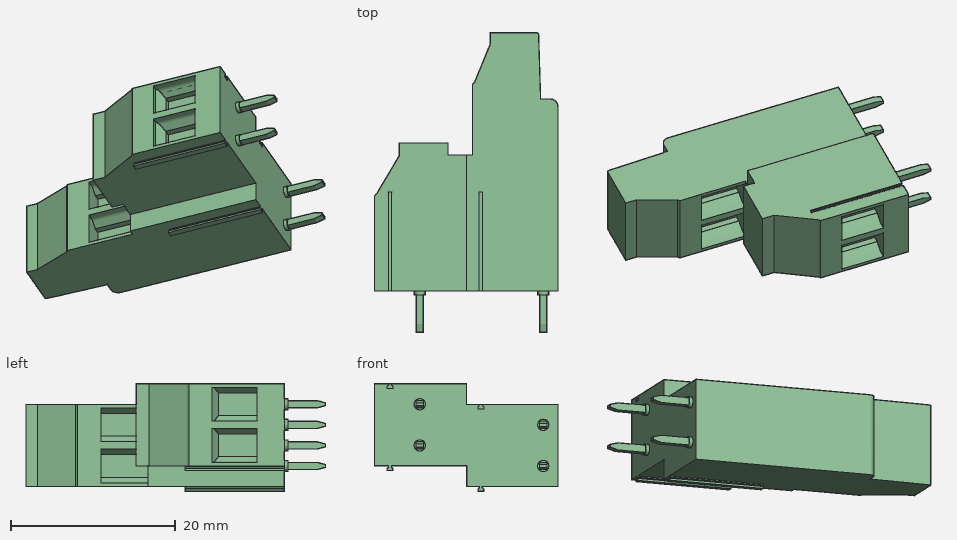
import cadquery as cq

BLOCK_HEIGHT = 10.0
BLOCK_OFFSET = 2.5
POLES = 2
PITCH = BLOCK_HEIGHT / POLES
SEAM_X = 11.2
TOTAL_WIDTH = 22.3

FRONT_NECK_Y = 11.57
FRONT_RAMP_TOP = (3.0, 16.45)
FRONT_TOP_Y = 18.0
FRONT_TOP_END_X = 8.95
SHELF_Y = 16.55

REAR_WALL_X = 11.9
REAR_NECK_Y = 25.13
REAR_RAMP_TOP = (14.05, 30.0)
REAR_TOP_Y = 31.4
REAR_TOP_END_X = 19.95
REAR_TOP_RADIUS = 0.25
SHOULDER_X = 20.2
SHOULDER_Y = 23.35
SHOULDER_RADIUS = 0.95

BEVEL_X = 0.25
BEVEL_Y = 0.25

FUNNEL_HEIGHT = 4.1
FUNNEL_THROAT_HEIGHT = 2.75
FUNNEL_END_TAPER = 0.78
END_TAPER_START = 0.6
FLOOR_TAPER_START = 1.08
THROAT_START = 2.05
FUNNEL_DEPTH = 2.82
FLOOR_BEND_RADIUS = 0.8
FRONT_FUNNEL_Y = (3.3, 8.8)
REAR_FUNNEL_Y = (SHELF_Y, 22.3)

RAIL_LENGTH = 12.07
RAIL_HEIGHT = 0.57
RAIL_NECK_WIDTH = 0.4
RAIL_NECK_HEIGHT = 0.15
RAIL_HEAD_WIDTH = 0.72
RAIL_HEAD_HEIGHT = 0.25
FRONT_RAIL_X = 1.88
REAR_RAIL_X = 12.92

PIN_LENGTH = 5.0
PIN_WIDTH = 0.9
PIN_TIP_LENGTH = 1.0
PIN_TIP_HEIGHT = 0.35
COLLAR_DIAMETER = 1.36
COLLAR_LENGTH = 0.45
FRONT_PIN_X = 5.5
REAR_PIN_X = 20.5


def front_block():
    return (
        cq.Workplane("XY")
        .workplane(offset=BLOCK_OFFSET)
        .polyline([
            (0, 0),
            (0, FRONT_NECK_Y),
            (BEVEL_X, FRONT_NECK_Y + BEVEL_Y),
            FRONT_RAMP_TOP,
            (FRONT_RAMP_TOP[0], FRONT_TOP_Y),
            (FRONT_TOP_END_X, FRONT_TOP_Y),
            (FRONT_TOP_END_X, SHELF_Y),
            (SEAM_X, SHELF_Y),
            (SEAM_X, 0),
        ])
        .close()
        .extrude(BLOCK_HEIGHT)
    )


def rear_block():
    block = (
        cq.Workplane("XY")
        .polyline([
            (SEAM_X, 0),
            (SEAM_X, SHELF_Y),
            (REAR_WALL_X, SHELF_Y),
            (REAR_WALL_X, REAR_NECK_Y),
            (REAR_WALL_X + BEVEL_X, REAR_NECK_Y + BEVEL_Y),
            REAR_RAMP_TOP,
            (REAR_RAMP_TOP[0], REAR_TOP_Y),
            (REAR_TOP_END_X, REAR_TOP_Y),
            (SHOULDER_X, SHOULDER_Y),
            (TOTAL_WIDTH, SHOULDER_Y),
            (TOTAL_WIDTH, 0),
        ])
        .close()
        .extrude(BLOCK_HEIGHT)
    )
    mid_z = BLOCK_HEIGHT / 2
    block = block.edges(
        cq.selectors.NearestToPointSelector((REAR_TOP_END_X, REAR_TOP_Y, mid_z))
    ).fillet(REAR_TOP_RADIUS)
    return block.edges(
        cq.selectors.NearestToPointSelector((TOTAL_WIDTH, SHOULDER_Y, mid_z))
    ).fillet(SHOULDER_RADIUS)


def funnel(wall_x, y_range, center_z, end_taper):
    """Cutter for one wire entry, tapered towards its throat on the roof, floor and +Y end."""
    y_low, y_high = y_range
    half_mouth = FUNNEL_HEIGHT / 2
    half_throat = FUNNEL_THROAT_HEIGHT / 2
    side_profile = (
        cq.Workplane("XZ", origin=(wall_x, y_low, center_z))
        .polyline([
            (0, -half_mouth),
            (FLOOR_TAPER_START, -half_mouth),
            (THROAT_START, -half_throat),
            (FUNNEL_DEPTH, -half_throat),
            (FUNNEL_DEPTH, half_throat),
            (THROAT_START, half_throat),
            (FLOOR_TAPER_START, half_mouth),
            (0, half_mouth),
        ])
        .close()
        .extrude(y_low - y_high)
    )
    mid_y = (y_low + y_high) / 2
    for side in (-1, 1):
        bend = (wall_x + FLOOR_TAPER_START, mid_y, center_z + side * half_mouth)
        side_profile = side_profile.edges(
            cq.selectors.NearestToPointSelector(bend)
        ).fillet(FLOOR_BEND_RADIUS)
    plan_profile = (
        cq.Workplane("XY", origin=(wall_x, 0, center_z - half_mouth))
        .polyline([
            (0, y_low),
            (0, y_high),
            (END_TAPER_START, y_high),
            (THROAT_START, y_high - end_taper),
            (FUNNEL_DEPTH, y_high - end_taper),
            (FUNNEL_DEPTH, y_low),
        ])
        .close()
        .extrude(FUNNEL_HEIGHT)
    )
    return side_profile.intersect(plan_profile)


def rail(center_x, base_z):
    """Headed rail hanging below base_z; also the cutter for the matching groove."""
    neck = RAIL_NECK_WIDTH / 2
    head = RAIL_HEAD_WIDTH / 2
    bottom_z = base_z - RAIL_HEIGHT
    return (
        cq.Workplane("XZ")
        .polyline([
            (center_x - neck, base_z),
            (center_x - neck, base_z - RAIL_NECK_HEIGHT),
            (center_x - head, bottom_z + RAIL_HEAD_HEIGHT),
            (center_x - head, bottom_z),
            (center_x + head, bottom_z),
            (center_x + head, bottom_z + RAIL_HEAD_HEIGHT),
            (center_x + neck, base_z - RAIL_NECK_HEIGHT),
            (center_x + neck, base_z),
        ])
        .close()
        .extrude(-RAIL_LENGTH)
    )


def pin(center_x, center_z):
    """Square pin along -Y with a round collar and a tip tapered in Z."""
    half = PIN_WIDTH / 2
    tip_half = PIN_TIP_HEIGHT / 2
    tip_start_y = PIN_TIP_LENGTH - PIN_LENGTH
    collar = (
        cq.Workplane("XZ", origin=(center_x, 0, center_z))
        .circle(COLLAR_DIAMETER / 2)
        .extrude(COLLAR_LENGTH)
    )
    shank = (
        cq.Workplane("YZ", origin=(center_x - half, 0, center_z))
        .polyline([
            (0, half),
            (tip_start_y, half),
            (-PIN_LENGTH, tip_half),
            (-PIN_LENGTH, -tip_half),
            (tip_start_y, -half),
            (0, -half),
        ])
        .close()
        .extrude(PIN_WIDTH)
    )
    return collar.union(shank)


def finish_block(block, base_z, wall_x, funnel_y, end_taper, rail_x, pin_x):
    """Add the two poles, the rail and the groove to a plain block."""
    for pole in range(POLES):
        pole_z = base_z + PITCH * (pole + 0.5)
        block = block.cut(funnel(wall_x, funnel_y, pole_z, end_taper))
        block = block.union(pin(pin_x, pole_z))
    block = block.cut(rail(rail_x, base_z + BLOCK_HEIGHT))
    return block.union(rail(rail_x, base_z))


front = finish_block(
    front_block(), BLOCK_OFFSET, 0, FRONT_FUNNEL_Y, FUNNEL_END_TAPER, FRONT_RAIL_X, FRONT_PIN_X
)
rear = finish_block(
    rear_block(), 0, REAR_WALL_X, REAR_FUNNEL_Y, 0, REAR_RAIL_X, REAR_PIN_X
)
result = front.union(rear)